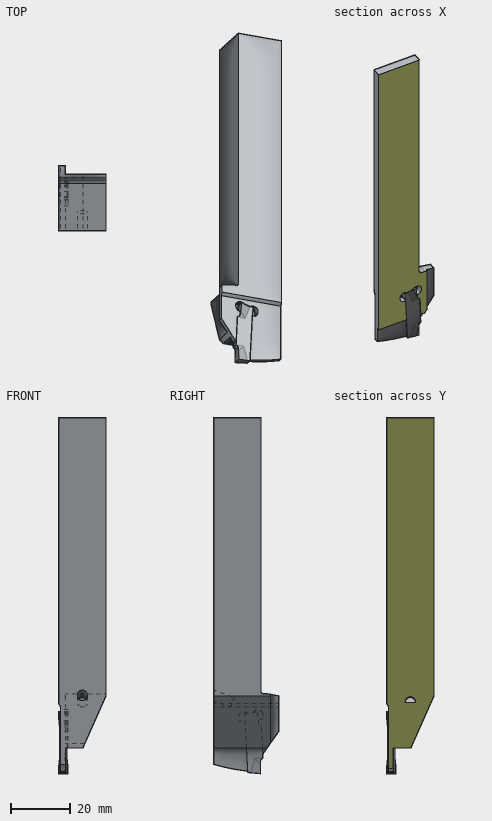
import cadquery as cq
import math

TOTAL_HEIGHT = 120.0
SHANK_SIDE = 16.0
FLANGE_REACH = 6.0
FLANGE_OUTER_Z = 26.3
FLANGE_INNER_Z = 27.0
FLANGE_FILLET = 0.8
FLANGE_LEVEL_REACH = 2.0
FLANGE_BOTTOM_Z = 14.3
JAW_TIP_Y = 16.5
JAW_TIP_Z = 6.6
BLADE_END_Y = 11.3
BLADE_END_Z = 0.8
BLADE_BACK_Z = 3.1
BLADE_SAG = 0.2

BLADE_BACK_X = 2.3
THICK_REACH_Y = 19.1
THICK_BOTTOM_Z = 8.6
TAPER_TOP_Z = 26.2
TAPER_BOTTOM_X = 8.2

RELIEF_DEPTH = 0.6
RELIEF_TOP_Z = 23.6
RELIEF_SLOPE_Z = 22.5

COOLANT_RADIUS = 1.7
COOLANT_Z = 26.4
COOLANT_DEPTH = 6.7
COOLANT_TILT = 20.0
COOLANT_LEAD = 1.2

INSERT_LENGTH = 21.0
INSERT_TILT = 3.0
INSERT_DEPTH = 4.3
CREST_HEIGHT = 1.1
RAKE_LENGTH = 4.5
RAKE_RISE = 0.2
CREST_START = 5.3
END_CLEARANCE = 0.6
HEAD_WIDTH = 3.2
BODY_WIDTH = 2.5
HEAD_OVERHANG = 0.07
HEAD_LENGTH = 5.3
HEAD_DEPTH = 3.5
HEAD_TAIL_DEPTH = 1.7
HEAD_TAIL_WIDTH = 2.9
HEAD_BEVEL_START = 2.5
TIP_SETBACK = 0.1
INSERT_TIP_Y = SHANK_SIDE - TIP_SETBACK
INSERT_MIDDLE_X = HEAD_WIDTH / 2 - HEAD_OVERHANG

CLEARANCE_RADIUS = 1.8
CLEARANCE_CENTERS = [(14.9, 19.8), (10.2, 19.0)]


def seat(body):
    """Move an insert shape from its upright pose at the origin to its working place."""
    tilted = body.rotate((0, 0, 0), (1, 0, 0), INSERT_TILT)
    return tilted.translate((INSERT_MIDDLE_X, INSERT_TIP_Y, 0))


def insert_profile(width):
    """Upright insert outline, cutting edge at the origin, centred on X = 0."""
    lower_half = [
        (-INSERT_DEPTH, END_CLEARANCE),
        (0, 0),
        (RAKE_RISE, RAKE_LENGTH),
        (CREST_HEIGHT, CREST_START),
    ]
    upper_half = [(y, INSERT_LENGTH - z) for y, z in reversed(lower_half)]
    outline = cq.Workplane("YZ").polyline(lower_half + upper_half).close()
    return outline.extrude(width / 2, both=True)


def insert_head():
    """Lower cutting head, its sides tapering toward the back and the inner end."""
    def section(z, front_width, depth):
        front = front_width / 2
        back = BODY_WIDTH / 2
        corners = [
            (-front, CREST_HEIGHT),
            (front, CREST_HEIGHT),
            (front, 0),
            (back, -depth),
            (-back, -depth),
            (-front, 0),
        ]
        return cq.Wire.makePolygon([cq.Vector(x, y, z) for x, y in corners], close=True)

    tip = section(0, HEAD_WIDTH, HEAD_DEPTH)
    tail = section(HEAD_LENGTH, HEAD_TAIL_WIDTH, HEAD_TAIL_DEPTH)
    return cq.Workplane(cq.Solid.makeLoft([tip, tail], True))


def head_bevel():
    """Outline in XZ that narrows the inner end of a head to the body width."""
    right_side = [
        (HEAD_WIDTH / 2, 0),
        (HEAD_WIDTH / 2, HEAD_BEVEL_START),
        (BODY_WIDTH / 2, HEAD_LENGTH),
    ]
    left_side = [(-x, z) for x, z in reversed(right_side)]
    outline = cq.Workplane("XZ").polyline(right_side + left_side).close()
    return outline.extrude(INSERT_DEPTH, both=True)


def make_insert():
    head = insert_head().intersect(insert_profile(HEAD_WIDTH)).intersect(head_bevel())
    far_head = head.mirror("XY", (0, 0, INSERT_LENGTH / 2))
    return seat(insert_profile(BODY_WIDTH).union(head).union(far_head))


def holder_side_profile():
    """Side outline in YZ, extruded over the full shank width."""
    chord_y = BLADE_END_Y / 2
    chord_z = (BLADE_END_Z + BLADE_BACK_Z) / 2
    outer_y = SHANK_SIDE + FLANGE_REACH
    return (
        cq.Workplane("YZ")
        .moveTo(0, BLADE_BACK_Z)
        .lineTo(0, TOTAL_HEIGHT)
        .lineTo(SHANK_SIDE, TOTAL_HEIGHT)
        .lineTo(SHANK_SIDE, FLANGE_INNER_Z + FLANGE_FILLET)
        .radiusArc((SHANK_SIDE + FLANGE_FILLET, FLANGE_INNER_Z), -FLANGE_FILLET)
        .lineTo(SHANK_SIDE + FLANGE_LEVEL_REACH, FLANGE_INNER_Z)
        .lineTo(outer_y, FLANGE_OUTER_Z)
        .lineTo(outer_y, FLANGE_BOTTOM_Z)
        .lineTo(JAW_TIP_Y, JAW_TIP_Z)
        .lineTo(BLADE_END_Y, BLADE_END_Z)
        .threePointArc((chord_y, chord_z - BLADE_SAG), (0, BLADE_BACK_Z))
        .close()
        .extrude(SHANK_SIDE)
    )


def taper_cut():
    """Removes the +X side down to the thin blade below the shank."""
    return (
        cq.Workplane("XZ")
        .polyline([
            (SHANK_SIDE, TAPER_TOP_Z),
            (TAPER_BOTTOM_X, THICK_BOTTOM_Z),
            (BLADE_BACK_X, THICK_BOTTOM_Z),
            (BLADE_BACK_X, 0),
            (SHANK_SIDE, 0),
        ])
        .close()
        .extrude(-(SHANK_SIDE + FLANGE_REACH))
    )


def flange_cut():
    """Leaves only the thin flange at the far +Y end."""
    width = SHANK_SIDE - BLADE_BACK_X
    reach = SHANK_SIDE + FLANGE_REACH - THICK_REACH_Y
    block = cq.Workplane("XY").box(width, reach, FLANGE_INNER_Z, centered=False)
    return block.translate((BLADE_BACK_X, THICK_REACH_Y, 0))


def side_relief():
    """Sets the blade's -X face back from the shank face."""
    return (
        cq.Workplane("XZ")
        .polyline([
            (0, 0),
            (0, RELIEF_TOP_Z),
            (RELIEF_DEPTH, RELIEF_SLOPE_Z),
            (RELIEF_DEPTH, 0),
        ])
        .close()
        .extrude(-(SHANK_SIDE + FLANGE_REACH))
    )


def insert_pocket():
    """Seat for the insert, with round clearances at its inner corners."""
    pocket_floor_x = INSERT_MIDDLE_X + HEAD_WIDTH / 2
    circles = cq.Workplane("YZ").pushPoints(CLEARANCE_CENTERS).circle(CLEARANCE_RADIUS)
    clearances = circles.extrude(pocket_floor_x)
    return seat(insert_profile(HEAD_WIDTH)).union(clearances)


def coolant_hole():
    """Blind bore from the -Y face, sloping down as it goes in."""
    tilt = math.radians(COOLANT_TILT)
    inward = cq.Vector(0, math.cos(tilt), -math.sin(tilt))
    mouth = cq.Vector(SHANK_SIDE / 2, 0, COOLANT_Z)
    start = mouth - inward * COOLANT_LEAD
    bore = cq.Solid.makeCylinder(COOLANT_RADIUS, COOLANT_DEPTH + COOLANT_LEAD, start, inward)
    return cq.Workplane(bore)


def make_holder():
    holder = holder_side_profile()
    for cut in (taper_cut(), flange_cut(), side_relief(), insert_pocket(), coolant_hole()):
        holder = holder.cut(cut)
    return holder


holder = make_holder()
insert = make_insert()
result = cq.Compound.makeCompound([holder.solids().val(), insert.solids().val()])